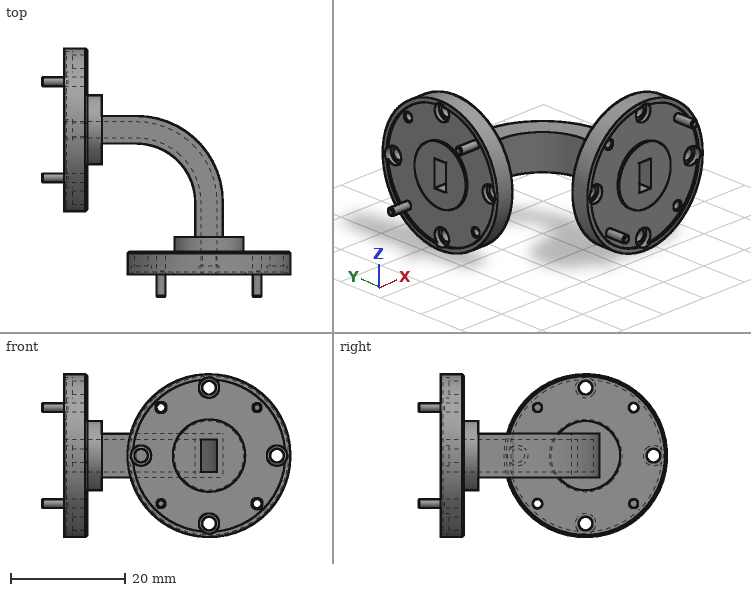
import cadquery as cq
import math


face_distance = 25.4
bend_radius = 12.7
tube_width = 4.88
tube_height = 7.72
bore_width = 2.845
bore_height = 5.69

flange_diameter = 28.575
flange_thickness = 4.09
back_chamfer = 0.38
hub_diameter = 12.15
hub_length = 2.54
rim_inner_diameter = 26.7
boss_diameter = 12.7
recess_depth = 0.45

bolt_circle_radius = 23.81 / 2
screw_hole_diameter = 2.37
counterbore_diameter = 3.57
counterbore_depth = 1.5
dowel_hole_chamfer = 0.2
screw_angles = (0, 90, 180, 270)
dowel_hole_angles = (135, 315)
pin_angles = (45, 225)

pin_diameter = 1.5875
pin_projection = 3.875
pin_tip_chamfer = 0.2

flange_turns = (0, -90)


def bolt_circle_points(angles):
    """Points on the bolt circle, angles measured from local X towards Z."""
    return [
        (
            bolt_circle_radius * math.cos(math.radians(angle)),
            bolt_circle_radius * math.sin(math.radians(angle)),
        )
        for angle in angles
    ]


def face_plane(depth=0.0):
    """Plane on the front flange, looking out along -Y, sunk by depth below the mating face."""
    return cq.Workplane("XZ", origin=(0, -face_distance + depth, 0))


def bent_bar(width, height, end_gap=0.0):
    """Rectangular bar along the bent centreline, stopping end_gap short of both mating faces."""
    end = face_distance - end_gap
    middle = bend_radius * (1 - math.sqrt(0.5))
    path = (
        cq.Workplane("XY")
        .moveTo(0, -end)
        .lineTo(0, -bend_radius)
        .threePointArc((-middle, -middle), (-bend_radius, 0))
        .lineTo(-end, 0)
    )
    return face_plane(end_gap).rect(width, height).sweep(path)


def make_flange():
    """Front flange disc with its hub, recess and holes."""
    disc = (
        face_plane()
        .circle(flange_diameter / 2)
        .extrude(-flange_thickness)
        .faces(">Y")
        .chamfer(back_chamfer)
    )
    hub = face_plane(flange_thickness).circle(hub_diameter / 2).extrude(-hub_length)
    recess = (
        face_plane()
        .circle(rim_inner_diameter / 2)
        .circle(boss_diameter / 2)
        .extrude(-recess_depth)
    )
    flange = disc.union(hub).cut(recess)

    screw_points = bolt_circle_points(screw_angles)
    screw_holes = (
        face_plane().pushPoints(screw_points).circle(screw_hole_diameter / 2).extrude(-flange_thickness)
    )
    counterbores = (
        face_plane().pushPoints(screw_points).circle(counterbore_diameter / 2).extrude(-counterbore_depth)
    )
    pin_seats = (
        face_plane()
        .pushPoints(bolt_circle_points(pin_angles))
        .circle(pin_diameter / 2)
        .extrude(-flange_thickness)
    )
    dowel_points = bolt_circle_points(dowel_hole_angles)
    dowel_holes = face_plane().pushPoints(dowel_points).circle(pin_diameter / 2).extrude(-flange_thickness)
    countersinks = (
        face_plane(recess_depth)
        .pushPoints(dowel_points)
        .circle(pin_diameter / 2 + dowel_hole_chamfer)
        .extrude(-dowel_hole_chamfer, taper=45)
    )
    return flange.cut(screw_holes).cut(counterbores).cut(pin_seats).cut(dowel_holes).cut(countersinks)


def make_waveguide():
    """Bent tube and both flanges as one body, with the rectangular bore right through."""
    waveguide = bent_bar(tube_width, tube_height, flange_thickness)
    flange = make_flange()
    for turn in flange_turns:
        waveguide = waveguide.union(flange.rotate((0, 0, 0), (0, 0, 1), turn))
    return waveguide.cut(bent_bar(bore_width, bore_height))


def make_pin(point, turn):
    """Dowel pin from the back of the flange to its chamfered tip."""
    pin = (
        face_plane(flange_thickness)
        .center(*point)
        .circle(pin_diameter / 2)
        .extrude(flange_thickness + pin_projection)
        .faces("<Y")
        .chamfer(pin_tip_chamfer)
    )
    return pin.rotate((0, 0, 0), (0, 0, 1), turn)


waveguide = make_waveguide()
pins = [
    make_pin(point, turn)
    for turn in flange_turns
    for point in bolt_circle_points(pin_angles)
]
result = cq.Compound.makeCompound([waveguide.val(), *[pin.val() for pin in pins]])